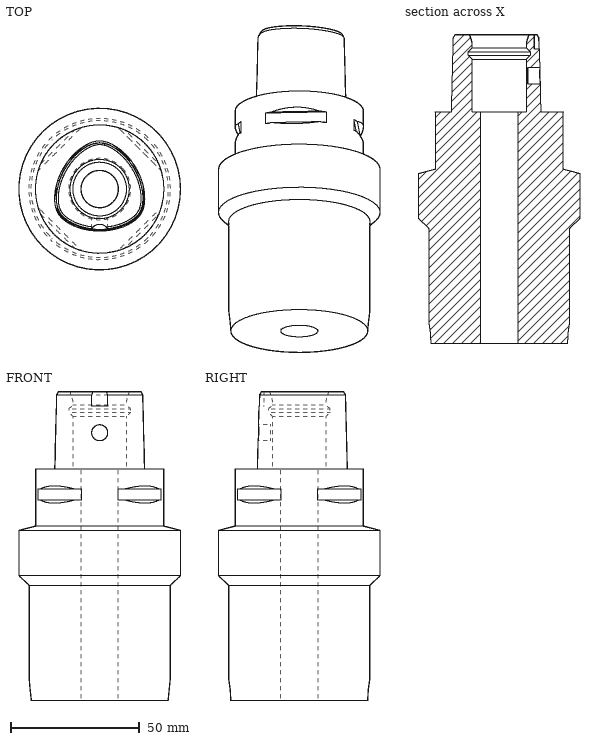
import cadquery as cq
import math

total_height = 120.0

tip_radius = 26.6
tip_taper_height = 8.4
body_radius = 27.5
flange_radius = 31.5
flange_bottom_z = 48.5
flange_undercut_height = 3.7
flange_top_z = 66.1
flange_bevel_height = 1.7
collar_radius = 25.0
collar_top_z = 90.0

shank_radius = 17.5
lobe_height = 1.2
shank_inset = 0.7
shank_chamfer_height = 1.3
shank_chamfer_inset = 0.7
outline_points = 72

through_radius = 7.2
bore_radius = 10.5
bore_depth = 30.0
mouth_radius = 11.5
mouth_depth = 3.6
groove_radius = 12.0
groove_start_depth = 5.2
groove_end_depth = 9.6

slot_center_z = 80.0
slot_floor_distance = 22.0
slot_floor_height = 4.3
slot_mouth_height = 6.7
slot_straight_depth = 1.2
slot_count = 4

notch_radius = 3.6
notch_depth = 5.5
notch_reach = 13.7
side_hole_radius = 3.1
side_hole_depth_from_top = 16.0
side_hole_floor = 11.2


def revolved(profile):
    """Revolve an (r, z) outline around the Z axis."""
    return cq.Workplane("XZ").polyline(profile).close().revolve(360, (0, 0, 0), (0, 1, 0))


def round_body():
    return revolved([
        (0, 0),
        (tip_radius, 0),
        (body_radius, tip_taper_height),
        (body_radius, flange_bottom_z - flange_undercut_height),
        (flange_radius, flange_bottom_z),
        (flange_radius, flange_top_z),
        (collar_radius, flange_top_z + flange_bevel_height),
        (collar_radius, collar_top_z),
        (0, collar_top_z),
    ])


def lobed_outline(radius, z):
    """Closed curve with support distance radius + lobe_height * cos(3a), one lobe pointing to +Y."""
    points = []
    for i in range(outline_points):
        a = 2 * math.pi * i / outline_points
        support = radius + lobe_height * math.cos(3 * a)
        slope = -3 * lobe_height * math.sin(3 * a)
        along_lobe = support * math.cos(a) - slope * math.sin(a)
        across_lobe = support * math.sin(a) + slope * math.cos(a)
        points.append(cq.Vector(-across_lobe, along_lobe, z))
    return cq.Wire.assembleEdges([cq.Edge.makeSpline(points, periodic=True)])


def lobed_frustum(lower_radius, lower_z, upper_radius, upper_z):
    outlines = [lobed_outline(lower_radius, lower_z), lobed_outline(upper_radius, upper_z)]
    return cq.Workplane(cq.Solid.makeLoft(outlines, True))


def shank():
    chamfer_z = total_height - shank_chamfer_height
    upper_radius = shank_radius - shank_inset
    taper = lobed_frustum(shank_radius, collar_top_z, upper_radius, chamfer_z)
    rim = lobed_frustum(upper_radius, chamfer_z, upper_radius - shank_chamfer_inset, total_height)
    return taper.union(rim)


def bore():
    """Conical mouth, bore with a 45 degree sided groove, and a narrower hole right through."""
    groove_side = groove_radius - bore_radius
    return revolved([
        (0, 0),
        (through_radius, 0),
        (through_radius, total_height - bore_depth),
        (bore_radius, total_height - bore_depth),
        (bore_radius, total_height - groove_end_depth),
        (groove_radius, total_height - groove_end_depth + groove_side),
        (groove_radius, total_height - groove_start_depth - groove_side),
        (bore_radius, total_height - groove_start_depth),
        (bore_radius, total_height - mouth_depth),
        (mouth_radius, total_height),
        (0, total_height),
    ])


def gripper_slots():
    """Straight slots with a flared mouth, on the diagonals between the X and Y axes."""
    flare_distance = slot_floor_distance + slot_straight_depth
    half_floor = slot_floor_height / 2
    half_mouth = slot_mouth_height / 2
    slot = (
        cq.Workplane("XZ", origin=(0, 0, slot_center_z))
        .polyline([
            (slot_floor_distance, -half_floor),
            (flare_distance, -half_floor),
            (collar_radius, -half_mouth),
            (collar_radius, half_mouth),
            (flare_distance, half_floor),
            (slot_floor_distance, half_floor),
        ])
        .close()
        .extrude(collar_radius, both=True)
    )
    slots = cq.Workplane()
    for i in range(slot_count):
        angle = 360 / slot_count * (i + 0.5)
        slots = slots.add(slot.rotate((0, 0, 0), (0, 0, 1), angle))
    return slots.combine()


def notch():
    """Upright round notch in the rim."""
    return (
        cq.Workplane("XY", origin=(0, -notch_reach - notch_radius, total_height))
        .circle(notch_radius)
        .extrude(-notch_depth)
    )


def side_hole():
    """Blind hole running towards the tool axis."""
    return (
        cq.Workplane("XZ", origin=(0, -side_hole_floor, total_height - side_hole_depth_from_top))
        .circle(side_hole_radius)
        .extrude(shank_radius - side_hole_floor)
    )


result = (
    round_body()
    .union(shank())
    .cut(bore())
    .cut(gripper_slots())
    .cut(notch())
    .cut(side_hole())
)